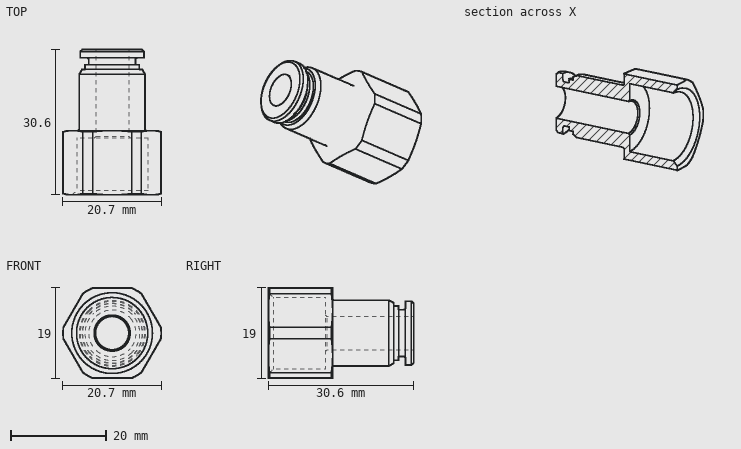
import cadquery as cq
import math


across_flats = 19.0
corner_diameter = 20.7
hex_length = 13.5
face_circle_radius = across_flats / 2
corner_bevel_angle = math.radians(17)

body_radius = 6.95
body_end = 26.4
body_bevel_width = 0.6
body_bevel_length = body_bevel_width / math.tan(math.radians(30))
body_root_fillet = 0.3

ring_radius = 5.75
ring_end = 27.4
neck_radius = 4.95
neck_fillet = 0.3
collar_radius = 6.75
collar_length = 1.8
collar_chamfer = 0.5
total_length = 30.6
collar_start = total_length - collar_length

socket_radius = 7.5
socket_depth = 12.0
socket_chamfer = 1.0
bore_radius = 3.5
bore_chamfer = 0.3


def revolve_about_axis(profile):
    """Turn a closed (radius, Y) profile fully about the Y axis."""
    return profile.close().revolve(360, (0, 0, 0), (0, 1, 0))


def make_hexagon():
    """Hexagon with flats facing +Z and -Z, rounded corners and bevelled ends."""
    across_corners = across_flats / math.cos(math.radians(30))
    prism = cq.Workplane("XZ").polygon(6, across_corners).extrude(-hex_length)

    corner_radius = corner_diameter / 2
    bevel_length = (corner_radius - face_circle_radius) * math.tan(corner_bevel_angle)
    envelope = revolve_about_axis(
        cq.Workplane("XY")
        .moveTo(0, 0)
        .lineTo(face_circle_radius, 0)
        .lineTo(corner_radius, bevel_length)
        .lineTo(corner_radius, hex_length - bevel_length)
        .lineTo(face_circle_radius, hex_length)
        .lineTo(0, hex_length)
    )
    return prism.intersect(envelope)


def make_body_and_sleeve():
    """Turned body, ring, neck and collar, starting inside the hexagon."""
    return revolve_about_axis(
        cq.Workplane("XY")
        .moveTo(0, 0)
        .lineTo(body_radius, 0)
        .lineTo(body_radius, body_end - body_bevel_length)
        .lineTo(body_radius - body_bevel_width, body_end)
        .lineTo(ring_radius, body_end)
        .lineTo(ring_radius, ring_end)
        .lineTo(neck_radius, ring_end)
        .lineTo(neck_radius, collar_start - neck_fillet)
        .radiusArc((neck_radius + neck_fillet, collar_start), neck_fillet)
        .lineTo(collar_radius, collar_start)
        .lineTo(collar_radius, total_length - collar_chamfer)
        .lineTo(collar_radius - collar_chamfer, total_length)
        .lineTo(0, total_length)
    )


def make_body_root():
    """Concave fillet ring where the body meets the hexagon."""
    return revolve_about_axis(
        cq.Workplane("XY")
        .moveTo(body_radius - body_root_fillet, hex_length)
        .lineTo(body_radius + body_root_fillet, hex_length)
        .radiusArc((body_radius, hex_length + body_root_fillet), body_root_fillet)
        .lineTo(body_radius - body_root_fillet, hex_length + body_root_fillet)
    )


def make_bores():
    """Chamfered socket in the hexagon, then a chamfered through bore."""
    return revolve_about_axis(
        cq.Workplane("XY")
        .moveTo(0, 0)
        .lineTo(socket_radius + socket_chamfer, 0)
        .lineTo(socket_radius, socket_chamfer)
        .lineTo(socket_radius, socket_depth)
        .lineTo(bore_radius + bore_chamfer, socket_depth)
        .lineTo(bore_radius, socket_depth + bore_chamfer)
        .lineTo(bore_radius, total_length)
        .lineTo(0, total_length)
    )


outer_shape = make_hexagon().union(make_body_and_sleeve()).union(make_body_root())
result = outer_shape.cut(make_bores())